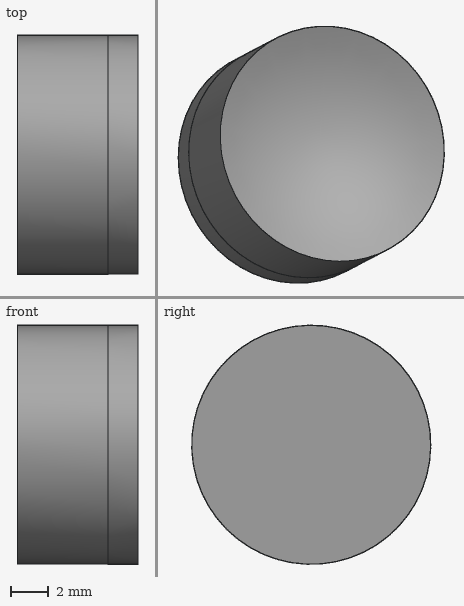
import cadquery as cq

diameter = 12.7
edge_thickness = 6.4
rear_edge_thickness = 1.6
concave_sag = 1.77

radius = diameter / 2
front_edge_thickness = edge_thickness - rear_edge_thickness


def make_front_element():
    """Plano-concave lens with its spherical hollow facing -X."""
    surface_radius = (radius**2 + concave_sag**2) / (2 * concave_sag)
    half_profile = (
        cq.Workplane("XZ")
        .moveTo(concave_sag, 0)
        .lineTo(front_edge_thickness, 0)
        .lineTo(front_edge_thickness, radius)
        .lineTo(0, radius)
        .radiusArc((concave_sag, 0), surface_radius)
        .close()
    )
    return half_profile.revolve(360, (0, 0, 0), (1, 0, 0))


def make_rear_element():
    """Flat disc seated on the back of the front element."""
    back_plane = cq.Workplane("YZ", origin=(front_edge_thickness, 0, 0))
    return back_plane.circle(radius).extrude(rear_edge_thickness)


front_element = make_front_element()
rear_element = make_rear_element()

result = cq.Compound.makeCompound([front_element.val(), rear_element.val()])